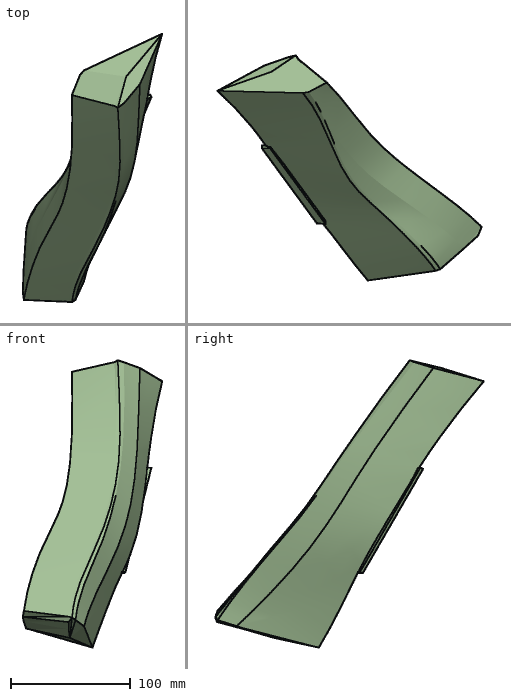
import cadquery as cq

FRONT_LEFT = [
    (41.0, 173.0, 230.5), (41.0, 129.0, 177.9), (38.6, 105.0, 147.5), (31.7, 78.7, 117.0),
    (15.5, 48.2, 82.0), (6.7, 25.7, 57.5), (1.0, 2.0, 30.7),
]
RIDGE_LEFT = [
    (76.8, 164.0, 238.5), (77.8, 121.7, 183.5), (76.0, 97.7, 148.5), (70.0, 75.4, 116.0),
    (59.5, 51.5, 87.5), (46.0, 26.6, 57.8), (38.5, 0.2, 26.0),
]
RIDGE = [
    (79.5, 162.5, 240), (81.4, 121.0, 183.5), (79.5, 97.0, 148.5), (72.7, 74.5, 116.0),
    (62.5, 51.0, 87.5), (49.2, 26.2, 57.8), (41.3, 0, 25.2),
]
RIDGE_RIGHT = [
    (84.7, 166.3, 238.4), (84.5, 124.3, 183.5), (81.5, 99.4, 148.5), (75.1, 76.3, 116.0),
    (66.0, 52.8, 87.5), (53.3, 27.8, 57.8), (44.2, 2.2, 23.0),
]
SHOULDER = [
    (98.0, 182.2, 233.5), (96.7, 151.2, 191.3), (94.0, 121.2, 147.0), (89.0, 100.8, 114.3),
    (81.0, 82.3, 87.5), (61.7, 46.5, 46.0), (51.4, 17.8, 17.8),
]
SHARP_RIGHT = [
    (116.7, 224.5, 222.5), (108.3, 191.5, 181.0), (104.7, 173.0, 154.3), (101.5, 156.7, 127.7),
    (98.0, 143.3, 105.4), (89.0, 126.0, 75.5), (80.2, 116.2, 56.5), (69.9, 103.7, 31.2), (58.3, 86.7, 0),
]
BACK_LEFT = [
    (51.1, 193.7, 226.5), (48, 165.9, 180.8), (43.2, 128.2, 111.1), (33.5, 106.0, 82.0),
    (19.2, 89.8, 56.5), (4.5, 64.8, 15.5),
]
SIDE_LEFT = [
    (47.8, 189.9, 226.8), (46.3, 163.0, 180.8), (42.0, 125.3, 111.1), (32.2, 102.7, 82.0),
    (17.3, 86.0, 56.5), (3.0, 60.5, 15.8),
]
SIDE_CREASE = [
    (47.3, 188.7, 227.0), (45.8, 160.8, 180.8), (38.5, 113.5, 117.5), (17.0, 71.5, 71.3), (0.7, 28.0, 22.0),
]
RAILS = [
    FRONT_LEFT, RIDGE_LEFT, RIDGE, RIDGE_RIGHT, SHOULDER,
    SHARP_RIGHT, BACK_LEFT, SIDE_LEFT, SIDE_CREASE,
]

TOP_INNER = (86.5, 188.5, 233.8)
FRONT_TOE = (0, 8.5, 25.7)
TOE_INNER = (38.5, 1.7, 21.4)
SOLE_MIDDLE = (38.5, 24.2, 15.4)
SOLE_BACK = (39.4, 49.0, 8.2)

STRIP_TOP = (106.3, 173.8, 149.3)
STRIP_BOTTOM = (84.7, 123.5, 62.2)
STRIP_ACROSS = (-0.88, -0.47, 0)
STRIP_WIDTH = 7.2
STRIP_THICKNESS = 3.0


def facet(*corners):
    return cq.Face.makeFromWires(cq.Wire.makePolygon([cq.Vector(*c) for c in corners], close=True))


def fan(centre, rim):
    return [facet(centre, start, end) for start, end in zip(rim, rim[1:])]


def long_faces():
    edges = [cq.Edge.makeSpline([cq.Vector(*p) for p in rail]) for rail in RAILS]
    return [cq.Face.makeRuledSurface(a, b) for a, b in zip(edges, edges[1:] + edges[:1])]


def top_faces():
    front_left, ridge_left, ridge, ridge_right, shoulder, sharp, back, side, crease = [
        rail[0] for rail in RAILS
    ]
    front = fan(front_left, [ridge_left, TOP_INNER, back, side, crease])
    rear = fan(TOP_INNER, [sharp, back])
    right = fan(ridge, [ridge_right, shoulder, sharp, TOP_INNER, ridge_left])
    return front + rear + right


def bottom_faces():
    front_left, ridge_left, ridge, ridge_right, shoulder, sharp, back, side, crease = [
        rail[-1] for rail in RAILS
    ]
    toe = fan(FRONT_TOE, [crease, front_left, ridge_left, TOE_INNER])
    sole_front = fan(crease, [FRONT_TOE, TOE_INNER, SOLE_MIDDLE])
    sole_back = fan(side, [crease, SOLE_MIDDLE, SOLE_BACK])
    heel = fan(SOLE_BACK, [side, back, sharp])
    inner_right = fan(ridge, [ridge_left, TOE_INNER, SOLE_MIDDLE, SOLE_BACK])
    outer_right = fan(SOLE_BACK, [ridge, ridge_right, shoulder, sharp])
    return toe + sole_front + sole_back + heel + inner_right + outer_right


def back_strip():
    top = cq.Vector(*STRIP_TOP)
    bottom = cq.Vector(*STRIP_BOTTOM)
    across = cq.Vector(*STRIP_ACROSS).normalized() * STRIP_WIDTH
    inward = (top - bottom).cross(across).normalized() * STRIP_THICKNESS
    outline = cq.Wire.makePolygon([top, bottom, bottom + across, top + across], close=True)
    return cq.Solid.extrudeLinear(outline, [], inward)


shell = cq.Shell.makeShell(long_faces() + top_faces() + bottom_faces())
body = cq.Solid.makeSolid(shell).fix()
result = cq.Workplane(body).union(cq.Workplane(back_strip()))